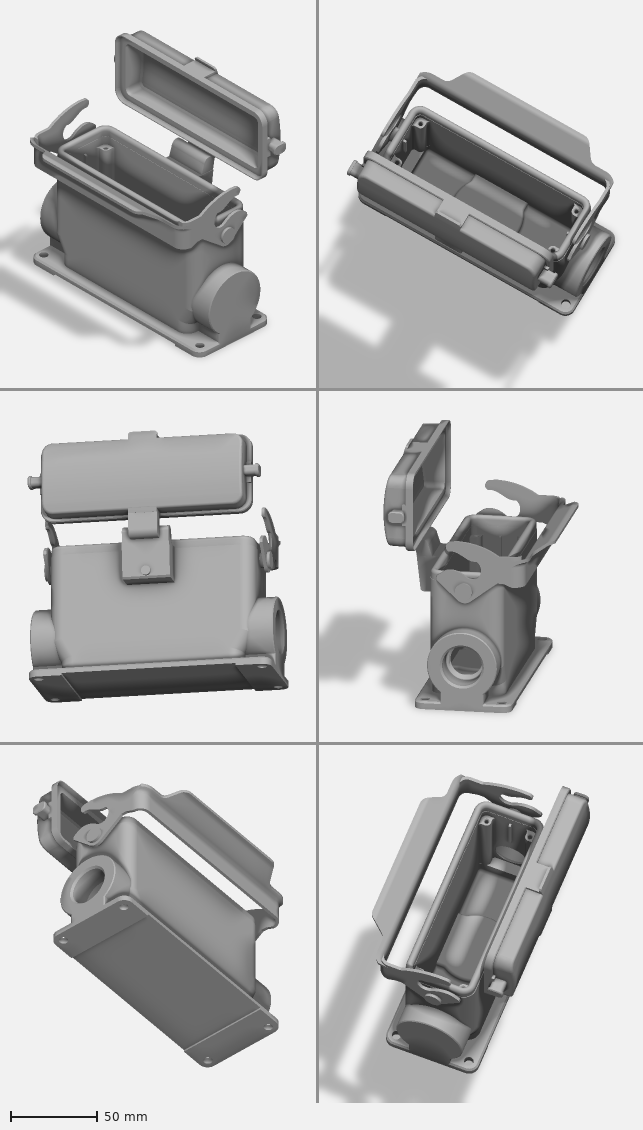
import cadquery as cq
import math


EMBED = 1.5

PLATE_HALF_X = 71.8
PLATE_HALF_Y = 28.5
PLATE_TOP = 4.6
PLATE_CORNER = 5.9
PLATE_CHAMFER = 1.0
RELIEF_HALF_X = 51.4
RELIEF_DEPTH = 1.3
MOUNT_HOLE_D = 5.5
MOUNT_HOLE_X = 66.0
MOUNT_HOLE_Y = 22.5

BODY_HALF_X = 60.4
BODY_HALF_Y = 21.7
BODY_CORNER = 7.6
BODY_TOP = 74.3
FOOT_HALF_X = 54.1
SHOULDER_LOW = 10.9
SHOULDER_HIGH = 21.8

RIM_INSET = 0.3
RIM_WIDTH = 4.2
RIM_TOP = 80.1

CAVITY_HALF_X = 55.8
CAVITY_HALF_Y = 17.1
CAVITY_CORNER = 3.5
SHELF_Z = 15.8
WELL_HALF_X = 49.4
WELL_CORNER = 2.0
FLOOR_Z = 7.2
FLOOR_FILLET = 1.7
PAD_HEIGHT = 3.6
PAD_RADIUS = 21.4
PAD_HALF_X = 17.7
PAD_FILLET = 1.6
PAD_KINK = 2.9

POST_TOP = 68.9
POST_INNER_X = 49.4
POST_INNER_Y = 10.8
POST_ROUND = 2.7
POST_FLARE = 1.0
SCREW_X = 52.1
SCREW_Y = 13.5
SCREW_D = 2.5
SCREW_MOUTH_D = 3.5
SCREW_DEPTH = 14.4
RIB_WIDTH = 1.3
RIB_HEIGHT = 2.0

BOSS_Z = 26.5
BOSS_RADIUS = 20.5
BOSS_CHAMFER = 0.6
PEDESTAL_HALF_Y = 12.6
BORE_D = 23.5
BORE_MOUTH_D = 26.0
BORE_DEPTH = 13.5
ENTRY_D = 19.0

STUD_Z = 70.2
STUD_D = 8.9
STUD_HEAD_D = 10.0
STUD_HEAD_LENGTH = 1.7

HINGE_HALF_X = 14.0
BRACKET_LOW = 53.8
BRACKET_HIGH = 74.9
BRACKET_CHAMFER = 1.1
BRACKET_LOW_Y = 34.6
BRACKET_HIGH_Y = 36.9
KNUCKLE_HALF_X = 13.8
KNUCKLE_FRONT_Y = 27.8
KNUCKLE_BACK_Y = 37.9
KNUCKLE_SHOULDER = 81.2
KNUCKLE_TOP = 84.7
KNUCKLE_TOP_Y = 33.5
KNUCKLE_SHOULDER_Y = 29.8
BUTTON_D = 5.5
BUTTON_Z = 58.0
BUTTON_Y = 36.5

LEVER_OUTER_X = 64.9
LEVER_THICKNESS = 1.9
STRAP_Y = -35.2
STRAP_CORNER = 7.0
STRAP_LOW = 73.8
STRAP_BEND = 86.1
STRAP_BEND_REACH = 2.0
ARM_TOP = 91.8
FLAP_ANGLE = 30.0
FLAP_BEND_RADIUS = 2.5
FLAP_TIP_START_Y = -46.2
FLAP_TIP_Y = -49.0
TIP_BEND_RADIUS = 3.6
FLAP_LEDGE_Y = -37.6
FLAP_NECK_HALF_X = 48.1
FLAP_TIP_HALF_X = 39.7
FLAP_CORNER = 5.7

COVER_Z = 113.5
COVER_HALF_X = 62.3
COVER_HALF_Z = 23.2
COVER_FRONT_Y = 30.4
COVER_RIM_DEPTH = 4.7
RIM_BACK_CHAMFER = 0.6
COVER_CORNER = 7.5
SEAT_DEPTH = 2.6
SEAT_MARGIN = 0.6
SEAT_DRAFT = 25.0
SHELL_HALF_X = 59.7
SHELL_INSET_Z = 1.7
SHELL_CORNER = 6.5
SHELL_DRAFT = 2.0
CROWN_Y = 48.5
CROWN_SAG = 3.5
CROWN_FILLET = 1.6
CROWN_WALL = 2.2
OPENING_HALF_X = 56.0
OPENING_HALF_Z = 17.5
OPENING_CORNER = 3.5
OPENING_CHAMFER = 1.1
CROWN_RADIUS = (COVER_HALF_Z**2 + CROWN_SAG**2) / (2 * CROWN_SAG)

TAB_HALF_X = 8.5
EDGE_PAD_DEPTH = 2.9
TAB_TOP = 139.2
TAB_LIP = 1.5
TAB_CORNER = 1.0

PIN_Y = 39.5
PIN_Z = 113.2
PIN_LENGTH_Y = 8.2
PIN_HEIGHT_Z = 5.7
PIN_HEAD_GROWTH = 1.3
PIN_HEAD_LENGTH = 1.9
PIN_HEAD_CHAMFER = 0.6
PIN_CORNER = 2.0
PIN_END_X = 68.2
PIN_PAD_HALF_Z = 6.2
PIN_PAD_Y = 36.7

ARM_HALF_X = TAB_HALF_X
ARM_BACK_LOW_Y = 44.5
ARM_FRONT_Y = 38.0
ARM_LOW = 76.3
ARM_ROUND = 4.0


def rounded_block(half_x, half_y, corner, low, high):
    """A block centred on the Z axis with rounded vertical corners."""
    block = cq.Workplane("XY").box(2 * half_x, 2 * half_y, high - low, centered=(True, True, False))
    return block.edges("|Z").fillet(corner).translate((0, 0, low))


def span_block(x_span, y_span, z_span):
    """A plain block between given limits along X, Y and Z."""
    size = [end - start for start, end in (x_span, y_span, z_span)]
    block = cq.Workplane("XY").box(*size, centered=False)
    return block.translate((x_span[0], y_span[0], z_span[0]))


def rod_along_x(diameter, start, end, y, z):
    return cq.Workplane("YZ", origin=(start, y, z)).circle(diameter / 2).extrude(end - start)


def mirror_x(shape):
    return shape.mirror("YZ")




def flange_plate():
    plate = rounded_block(PLATE_HALF_X, PLATE_HALF_Y, PLATE_CORNER, 0, PLATE_TOP)
    return plate.faces(">Z").chamfer(PLATE_CHAMFER)


def outer_walls():
    """The walls as one extruded end-to-end outline, with its four corner edges rounded."""
    right_side = [
        (FOOT_HALF_X, 0),
        (FOOT_HALF_X, SHOULDER_LOW),
        (BODY_HALF_X, SHOULDER_HIGH),
        (BODY_HALF_X, BODY_TOP),
    ]
    left_side = [(-x, z) for x, z in reversed(right_side)]
    walls = cq.Workplane("XZ").polyline(right_side + left_side).close().extrude(BODY_HALF_Y, both=True)
    return walls.edges("not(|X or |Y)").fillet(BODY_CORNER)


def sealing_rim():
    """The rim, an upright strip with a half-round top swept around the mouth of the cavity."""
    radius = RIM_WIDTH / 2
    mid_x = BODY_HALF_X - RIM_INSET - radius
    mid_y = BODY_HALF_Y - RIM_INSET - radius
    corner = BODY_CORNER - RIM_INSET - radius
    path = (
        cq.Workplane("XY", origin=(0, 0, BODY_TOP))
        .moveTo(0, -mid_y)
        .lineTo(mid_x - corner, -mid_y)
        .tangentArcPoint((mid_x, corner - mid_y), relative=False)
        .lineTo(mid_x, mid_y - corner)
        .tangentArcPoint((mid_x - corner, mid_y), relative=False)
        .lineTo(corner - mid_x, mid_y)
        .tangentArcPoint((-mid_x, mid_y - corner), relative=False)
        .lineTo(-mid_x, corner - mid_y)
        .tangentArcPoint((corner - mid_x, -mid_y), relative=False)
        .close()
    )
    profile = (
        cq.Workplane("YZ", origin=(0, -mid_y, BODY_TOP))
        .moveTo(-radius, 0)
        .lineTo(radius, 0)
        .lineTo(radius, RIM_TOP - BODY_TOP - radius)
        .threePointArc((0, RIM_TOP - BODY_TOP), (-radius, RIM_TOP - BODY_TOP - radius))
        .close()
    )
    return profile.sweep(path)


def cable_boss():
    """The boss on the -X end, standing on a pedestal that rises from the flange."""
    length = PLATE_HALF_X - FOOT_HALF_X + BODY_CORNER
    start = cq.Workplane("YZ", origin=(-PLATE_HALF_X, 0, 0))
    barrel = start.center(0, BOSS_Z).circle(BOSS_RADIUS).extrude(length)
    pedestal = start.center(0, BOSS_Z / 2).rect(2 * PEDESTAL_HALF_Y, BOSS_Z).extrude(length)
    return barrel.union(pedestal).faces("<X").edges("not <Z").chamfer(BOSS_CHAMFER)


def cable_bore():
    """The bore in the -X boss: a chamfered mouth, then a cone down to the opening in the wall."""
    mouth_x = -PLATE_HALF_X
    mouth_depth = (BORE_MOUTH_D - BORE_D) / 2
    cone_depth = (BORE_D - ENTRY_D) / 2
    outline = [
        (mouth_x, 0),
        (mouth_x, BORE_MOUTH_D / 2),
        (mouth_x + mouth_depth, BORE_D / 2),
        (mouth_x + BORE_DEPTH, BORE_D / 2),
        (mouth_x + BORE_DEPTH + cone_depth, ENTRY_D / 2),
        (-CAVITY_HALF_X, ENTRY_D / 2),
        (-CAVITY_HALF_X, 0),
    ]
    bore = cq.Workplane("XZ").polyline(outline).close().revolve(360, (0, 0), (1, 0))
    return bore.translate((0, 0, BOSS_Z))


def cavity():
    """The space inside the walls, down to a shelf at each end and a deeper well between them."""
    upper = rounded_block(CAVITY_HALF_X, CAVITY_HALF_Y, CAVITY_CORNER, SHELF_Z, BODY_TOP)
    pad_top = FLOOR_Z + PAD_HEIGHT
    well = rounded_block(WELL_HALF_X, CAVITY_HALF_Y, WELL_CORNER, pad_top, SHELF_Z)
    return upper.union(well)


def floor_pockets():
    """The two pockets in the floor, either side of the central pad with its bulging sides."""
    pad_top = FLOOR_Z + PAD_HEIGHT
    pockets = rounded_block(WELL_HALF_X, CAVITY_HALF_Y, WELL_CORNER, FLOOR_Z, pad_top)
    disc = cq.Workplane("XY", origin=(0, 0, FLOOR_Z)).circle(PAD_RADIUS).extrude(PAD_HEIGHT)
    bar = cq.Workplane("XY", origin=(0, 0, FLOOR_Z)).rect(2 * PAD_HALF_X, 2 * BODY_HALF_Y).extrude(PAD_HEIGHT)
    pad = disc.union(bar)
    kink_zone = cq.selectors.BoxSelector(
        (-PAD_RADIUS, -CAVITY_HALF_Y + 1.5, 0), (PAD_RADIUS, CAVITY_HALF_Y - 1.5, SHELF_Z)
    )
    pad = pad.edges("|Z").edges(kink_zone).fillet(PAD_KINK)
    return pockets.cut(pad).faces("<Z").edges().fillet(FLOOR_FILLET)


def pad_rim_region():
    """Picks out the top edges of the floor's central pad."""
    pad_top = FLOOR_Z + PAD_HEIGHT
    reach = PAD_RADIUS + 1.5
    margin = 0.1
    return cq.selectors.BoxSelector(
        (-reach, -CAVITY_HALF_Y + margin, pad_top - margin), (reach, CAVITY_HALF_Y - margin, pad_top + margin)
    )


def screw_post():
    """The post in the +X +Y corner, flared where it meets the walls, with a screw hole in its top."""
    buried_x = CAVITY_HALF_X + EMBED
    buried_y = CAVITY_HALF_Y + EMBED
    outline = [
        (buried_x, POST_INNER_Y - POST_FLARE),
        (CAVITY_HALF_X, POST_INNER_Y - POST_FLARE),
        (CAVITY_HALF_X - POST_FLARE, POST_INNER_Y),
        (POST_INNER_X, POST_INNER_Y),
        (POST_INNER_X, CAVITY_HALF_Y - POST_FLARE),
        (POST_INNER_X - POST_FLARE, CAVITY_HALF_Y),
        (POST_INNER_X - POST_FLARE, buried_y),
        (buried_x, buried_y),
    ]
    base = cq.Workplane("XY", origin=(0, 0, SHELF_Z))
    post = base.polyline(outline).close().extrude(POST_TOP - SHELF_Z)
    inner_edge = cq.selectors.NearestToPointSelector((POST_INNER_X, POST_INNER_Y, POST_TOP / 2))
    post = post.edges("|Z").edges(inner_edge).fillet(POST_ROUND)
    top = cq.Workplane("XY", origin=(SCREW_X, SCREW_Y, POST_TOP))
    post = post.cut(top.circle(SCREW_D / 2).extrude(-SCREW_DEPTH))
    mouth_edge = cq.selectors.RadiusNthSelector(0)
    return post.faces(">Z").edges("%CIRCLE").edges(mouth_edge).chamfer((SCREW_MOUTH_D - SCREW_D) / 2)


def stud():
    """The stud on the +X end; its head is outside the lever arm."""
    shank = rod_along_x(STUD_D, CAVITY_HALF_X + EMBED, LEVER_OUTER_X, 0, STUD_Z)
    head = rod_along_x(STUD_HEAD_D, LEVER_OUTER_X, LEVER_OUTER_X + STUD_HEAD_LENGTH, 0, STUD_Z)
    return shank.union(head)


def hinge_bracket():
    """The bracket on the rear wall, with a rounded knuckle on top and a round button behind."""
    wall_y = BODY_HALF_Y - EMBED
    block = (
        cq.Workplane("YZ", origin=(-HINGE_HALF_X, 0, 0))
        .moveTo(wall_y, BRACKET_LOW)
        .lineTo(BRACKET_LOW_Y - BRACKET_CHAMFER, BRACKET_LOW)
        .lineTo(BRACKET_LOW_Y, BRACKET_LOW + BRACKET_CHAMFER)
        .lineTo(BRACKET_HIGH_Y, BRACKET_HIGH)
        .lineTo(wall_y, BRACKET_HIGH)
        .close()
        .extrude(2 * HINGE_HALF_X)
    )
    knuckle = (
        cq.Workplane("YZ", origin=(-KNUCKLE_HALF_X, 0, 0))
        .moveTo(KNUCKLE_FRONT_Y, BRACKET_HIGH)
        .lineTo(BRACKET_HIGH_Y, BRACKET_HIGH)
        .lineTo(KNUCKLE_BACK_Y, KNUCKLE_SHOULDER)
        .threePointArc((KNUCKLE_TOP_Y, KNUCKLE_TOP), (KNUCKLE_SHOULDER_Y, KNUCKLE_SHOULDER))
        .close()
        .extrude(2 * KNUCKLE_HALF_X)
    )
    button = cq.Workplane("XZ", origin=(0, BUTTON_Y, BUTTON_Z)).circle(BUTTON_D / 2)
    button = button.extrude(BUTTON_Y - wall_y)
    return block.union(knuckle).union(button)


def make_housing():
    boss = cable_boss()
    body = flange_plate().union(outer_walls())
    body = body.union(boss).union(mirror_x(boss))
    body = body.cut(cavity()).cut(floor_pockets())
    body = body.edges(pad_rim_region()).fillet(PAD_FILLET)
    body = body.cut(cable_bore()).union(sealing_rim())

    post = screw_post().intersect(outer_walls())
    for side_post in (post, mirror_x(post)):
        body = body.union(side_post).union(side_post.mirror("XZ"))
    rib_x = (CAVITY_HALF_X - RIB_HEIGHT, CAVITY_HALF_X + EMBED)
    rib = span_block(rib_x, (-RIB_WIDTH / 2, RIB_WIDTH / 2), (BOSS_Z + BOSS_RADIUS, POST_TOP))
    for end_feature in (rib, stud()):
        body = body.union(end_feature).union(mirror_x(end_feature))
    body = body.union(hinge_bracket())

    mount_holes = (
        cq.Workplane("XY")
        .rect(2 * MOUNT_HOLE_X, 2 * MOUNT_HOLE_Y, forConstruction=True)
        .vertices()
        .circle(MOUNT_HOLE_D / 2)
        .extrude(PLATE_TOP)
    )
    relief = span_block((-RELIEF_HALF_X, RELIEF_HALF_X), (-PLATE_HALF_Y, PLATE_HALF_Y), (0, RELIEF_DEPTH))
    return body.cut(mount_holes).cut(relief)




def lever_arm():
    """The +X side plate with its hooked upper finger, in the Y-Z plane."""
    strap_y = STRAP_Y + STRAP_CORNER
    finger_root = (-20.5, ARM_TOP)
    finger_crest = (-9.3, 97.5)
    finger_top = (3.3, 99.7)
    finger_tip = [(7.5, 99.5), (10.6, 96.5), (8.9, 93.7)]
    finger_underside = [(0.5, 91.0), (-3.9, 88.7), (-7.5, 88.4)]
    slot_back = [(-10.0, 83.8), (-7.2, 77.9)]
    slot_floor = [(-4.0, 77.5), (-1.1, 78.8)]
    cam_top = [(2.6, 81.2), (7.6, 82.5), (12.6, 81.1)]
    cam_nose = [(15.8, 78.8), (16.2, 76.5)]
    pivot_end = [(3.9, 64.7), (-0.3, 63.0), (-4.5, 64.6)]
    strap_root = [(-19.7, 75.9), (-23.2, 75.8)]

    outline = (
        cq.Workplane("YZ", origin=(LEVER_OUTER_X - LEVER_THICKNESS, 0, 0))
        .moveTo(strap_y, ARM_TOP)
        .lineTo(*finger_root)
        .threePointArc(finger_crest, finger_top)
        .lineTo(*finger_tip[0])
        .threePointArc(*finger_tip[1:])
        .spline(finger_underside, includeCurrent=True)
        .threePointArc(*slot_back)
        .threePointArc(*slot_floor)
        .spline(cam_top, includeCurrent=True)
        .lineTo(*cam_nose[0])
        .lineTo(*cam_nose[1])
        .lineTo(*pivot_end[0])
        .threePointArc(*pivot_end[1:])
        .lineTo(*strap_root[0])
        .lineTo(*strap_root[1])
        .lineTo(strap_y, STRAP_LOW)
        .close()
    )
    arm = outline.extrude(LEVER_THICKNESS)
    return arm.cut(rod_along_x(STUD_D, 0, LEVER_OUTER_X, 0, STUD_Z))


def strap():
    """The upright front strap with its two rounded corners."""
    inner_x = LEVER_OUTER_X - LEVER_THICKNESS
    outer = span_block((-LEVER_OUTER_X, LEVER_OUTER_X), (STRAP_Y, 0), (STRAP_LOW, ARM_TOP))
    outer = outer.edges("|Z and <Y").fillet(STRAP_CORNER)
    inner = span_block((-inner_x, inner_x), (STRAP_Y + LEVER_THICKNESS, 0), (STRAP_LOW, ARM_TOP))
    inner = inner.edges("|Z and <Y").fillet(STRAP_CORNER - LEVER_THICKNESS)
    corner_y = STRAP_Y + STRAP_CORNER
    front = span_block((-LEVER_OUTER_X, LEVER_OUTER_X), (STRAP_Y, corner_y), (STRAP_LOW, ARM_TOP))
    bend_y = STRAP_Y + STRAP_BEND_REACH
    above_bend = span_block((-LEVER_OUTER_X, LEVER_OUTER_X), (STRAP_Y, bend_y), (STRAP_BEND, ARM_TOP))
    return outer.cut(inner).intersect(front).cut(above_bend)


def flap_profile(plane):
    """The sheet section that bends forward out of the strap, rises at a slope and ends level."""
    angle = math.radians(FLAP_ANGLE)
    turn = math.pi / 2 - angle
    centre_y = STRAP_Y - FLAP_BEND_RADIUS
    outer_radius = FLAP_BEND_RADIUS + LEVER_THICKNESS

    def bend_point(radius, swept):
        return (centre_y + radius * math.cos(swept), STRAP_BEND + radius * math.sin(swept))

    def climb(point, y):
        return (y, point[1] + (point[0] - y) * math.tan(angle))

    under_end = bend_point(FLAP_BEND_RADIUS, turn)
    over_end = bend_point(outer_radius, turn)
    under_tip = climb(under_end, FLAP_TIP_START_Y)
    over_tip_z = under_tip[1] + LEVER_THICKNESS
    over_tip = (over_end[0] - (over_tip_z - over_end[1]) / math.tan(angle), over_tip_z)
    return (
        plane.moveTo(STRAP_Y, STRAP_BEND)
        .threePointArc(bend_point(FLAP_BEND_RADIUS, turn / 2), under_end)
        .lineTo(*under_tip)
        .lineTo(FLAP_TIP_Y, under_tip[1])
        .lineTo(FLAP_TIP_Y, over_tip_z)
        .lineTo(*over_tip)
        .lineTo(*over_end)
        .threePointArc(bend_point(outer_radius, turn / 2), (STRAP_Y + LEVER_THICKNESS, STRAP_BEND))
        .close()
    )


def tip_bend_region():
    """Picks out the two edges where the flap turns level."""
    return cq.selectors.BoxSelector(
        (-LEVER_OUTER_X, FLAP_TIP_START_Y - 1.5, STRAP_BEND), (LEVER_OUTER_X, FLAP_TIP_START_Y + 1.5, TAB_TOP)
    )


def grip_flap():
    """The flap, trimmed to a grip that narrows forward; its bend flares around the strap corners."""
    flat_half_x = LEVER_OUTER_X - STRAP_CORNER
    flap = flap_profile(cq.Workplane("YZ", origin=(-flat_half_x, 0, 0))).extrude(2 * flat_half_x)
    flap = flap.edges("|X").edges(tip_bend_region()).fillet(TIP_BEND_RADIUS)
    trim = (
        cq.Workplane("XY", origin=(0, 0, STRAP_LOW))
        .polyline(
            [
                (-LEVER_OUTER_X, 0),
                (-LEVER_OUTER_X, FLAP_LEDGE_Y),
                (-FLAP_NECK_HALF_X, FLAP_LEDGE_Y),
                (-FLAP_TIP_HALF_X, FLAP_TIP_Y),
                (FLAP_TIP_HALF_X, FLAP_TIP_Y),
                (FLAP_NECK_HALF_X, FLAP_LEDGE_Y),
                (LEVER_OUTER_X, FLAP_LEDGE_Y),
                (LEVER_OUTER_X, 0),
            ]
        )
        .close()
        .extrude(TAB_TOP - STRAP_LOW)
    )
    grip_region = cq.selectors.BoxSelector(
        (-FLAP_NECK_HALF_X - 1.5, FLAP_TIP_Y - 1.5, 0), (FLAP_NECK_HALF_X + 1.5, FLAP_LEDGE_Y + 1.5, TAB_TOP)
    )
    trim = trim.edges("|Z").edges(grip_region).fillet(FLAP_CORNER)

    axis_y = STRAP_Y + STRAP_CORNER
    flare = flap_profile(cq.Workplane("YZ", origin=(flat_half_x, 0, 0)))
    flare = flare.revolve(90, (axis_y, 0), (axis_y, 1))
    reach = cq.Workplane("XY", origin=(flat_half_x, axis_y, STRAP_LOW)).circle(axis_y - FLAP_LEDGE_Y)
    flare = flare.intersect(reach.extrude(TAB_TOP - STRAP_LOW))
    return flap.union(flare).union(mirror_x(flare)).intersect(trim)


def make_lever():
    arm = lever_arm()
    return strap().union(grip_flap()).union(arm).union(mirror_x(arm))




def upright_block(half_x, half_z, corner, front_y, back_y):
    """A block standing on edge about the cover's centre height, with corners rounded along Y."""
    block = span_block((-half_x, half_x), (front_y, back_y), (COVER_Z - half_z, COVER_Z + half_z))
    return block.edges("|Y").fillet(corner)


def rounded_outline(half_x, half_z, corner, y):
    """A rounded rectangle about the cover's centre height, ready to extrude along Y."""
    plane = cq.Workplane("XZ", origin=(0, y, COVER_Z))
    return plane.sketch().rect(2 * half_x, 2 * half_z).vertices().fillet(corner).finalize()


def crown_cylinder(radius):
    """Everything inside the curve of the cover's crowned back, whose axis runs along X."""
    return rod_along_x(2 * radius, -PLATE_HALF_X, PLATE_HALF_X, CROWN_Y - CROWN_RADIUS, COVER_Z)


def cover_shell():
    rim_back = COVER_FRONT_Y + COVER_RIM_DEPTH
    shell = rounded_outline(SHELL_HALF_X, COVER_HALF_Z - SHELL_INSET_Z, SHELL_CORNER, rim_back)
    shell = shell.extrude(rim_back - CROWN_Y - 1.5, taper=SHELL_DRAFT)
    shell = shell.intersect(crown_cylinder(CROWN_RADIUS)).faces(">Y").edges().fillet(CROWN_FILLET)
    rim = upright_block(COVER_HALF_X, COVER_HALF_Z, COVER_CORNER, COVER_FRONT_Y, rim_back)
    rim = rim.faces(">Y").chamfer(RIM_BACK_CHAMFER)
    return shell.union(rim)


def seal_seat():
    """The recess inside the cover's front edge, with sloping sides."""
    half_x = COVER_HALF_X - SEAT_MARGIN
    half_z = COVER_HALF_Z - SEAT_MARGIN
    seat = rounded_outline(half_x, half_z, COVER_CORNER - SEAT_MARGIN, COVER_FRONT_Y)
    return seat.extrude(-SEAT_DEPTH, taper=SEAT_DRAFT)


def cover_cavity():
    opening = upright_block(OPENING_HALF_X, OPENING_HALF_Z, OPENING_CORNER, COVER_FRONT_Y, CROWN_Y)
    opening = opening.intersect(crown_cylinder(CROWN_RADIUS - CROWN_WALL))
    return opening.faces(">Y").chamfer(OPENING_CHAMFER)


def edge_pad(low, high):
    """A pad that carries the rim's top or bottom edge back to the crown."""
    pad = span_block((-TAB_HALF_X, TAB_HALF_X), (COVER_FRONT_Y + SEAT_DEPTH, CROWN_Y), (low, high))
    return pad.intersect(crown_cylinder(CROWN_RADIUS))


def opening_tab():
    """The tab on the top edge: a pad with a thin raised lip that continues the crown."""
    lip_low = COVER_Z + OPENING_HALF_Z + EMBED
    back = span_block((-TAB_HALF_X, TAB_HALF_X), (COVER_FRONT_Y, CROWN_Y), (lip_low, TAB_TOP))
    back = back.edges("|Y and >Z").chamfer(TAB_CORNER)
    lip = back.intersect(crown_cylinder(CROWN_RADIUS)).cut(crown_cylinder(CROWN_RADIUS - TAB_LIP))
    top = COVER_Z + COVER_HALF_Z
    return lip.union(edge_pad(top - EDGE_PAD_DEPTH, top))


def pin_length(growth, start, end):
    """A stretch of the pin along X, larger all round by half the growth."""
    block = cq.Workplane("YZ", origin=(start, PIN_Y, PIN_Z))
    block = block.rect(PIN_LENGTH_Y + growth, PIN_HEIGHT_Z + growth).extrude(end - start)
    return block.edges("|X").fillet(PIN_CORNER + growth / 2)


def latch_pin():
    """The oblong headed pin on the +X end, and the pad where it meets the rim."""
    root_x = SHELL_HALF_X - EMBED
    head_x = PIN_END_X - PIN_HEAD_LENGTH
    shank = pin_length(0, root_x, head_x)
    head = pin_length(PIN_HEAD_GROWTH, head_x, PIN_END_X).faces(">X").chamfer(PIN_HEAD_CHAMFER)
    pad_z = (PIN_Z - PIN_PAD_HALF_Z, PIN_Z + PIN_PAD_HALF_Z)
    pad = span_block((root_x, COVER_HALF_X), (COVER_FRONT_Y + SEAT_DEPTH, PIN_PAD_Y), pad_z)
    return shank.union(head).union(pad)


def hinge_arm():
    """The arm under the cover, level with the back of the knuckle."""
    root_z = COVER_Z - OPENING_HALF_Z - CROWN_WALL
    edge_y = CROWN_Y - CROWN_SAG
    arm = (
        cq.Workplane("YZ", origin=(-ARM_HALF_X, 0, 0))
        .moveTo(ARM_FRONT_Y, root_z)
        .lineTo(edge_y, root_z)
        .lineTo(ARM_BACK_LOW_Y, ARM_LOW)
        .lineTo(ARM_FRONT_Y, ARM_LOW)
        .close()
        .extrude(2 * ARM_HALF_X)
    )
    arm = arm.edges("|X and <Z").edges(">Y").fillet(ARM_ROUND)
    bottom = COVER_Z - COVER_HALF_Z
    return arm.union(edge_pad(bottom, bottom + EDGE_PAD_DEPTH))


def make_cover():
    pin = latch_pin()
    cover = cover_shell().union(opening_tab()).union(hinge_arm())
    cover = cover.union(pin).union(mirror_x(pin))
    return cover.cut(seal_seat()).cut(cover_cavity())


housing = make_housing()
lever = make_lever()
cover = make_cover()
result = cq.Compound.makeCompound([housing.val(), lever.val(), cover.val()])